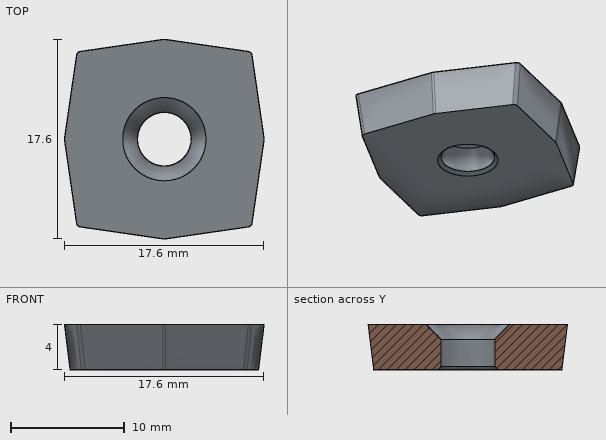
import cadquery as cq
import math

width = 17.56
thickness = 4.0

side_angle = 8.25
clearance_angle = 7.0
corner_radius = 0.4
apex_radius = 0.8

hole_diameter = 4.7
seat_diameter = 7.32
bottom_chamfer = 0.3

seat_depth = (seat_diameter - hole_diameter) / 2

slope = math.tan(math.radians(side_angle))
apex_loss = apex_radius * (1 / math.cos(math.radians(side_angle)) - 1)
apex_reach = width / 2 + apex_loss
corner_reach = apex_reach / (1 + slope)


def outline_points():
    """Corner and side-apex points of the sharp top outline, counterclockwise."""
    points = []
    for x, y in ((1, 0), (0, 1), (-1, 0), (0, -1)):
        points.append((x * apex_reach, y * apex_reach))
        points.append(((x - y) * corner_reach, (x + y) * corner_reach))
    return points


def on_axis(edge):
    """True for an edge rising from a side apex, which lies on the X or Y axis."""
    center = edge.Center()
    return min(abs(center.x), abs(center.y)) < corner_radius


def rounded_body():
    """Insert body tapering towards the bottom, with rounded corners and side apexes."""
    body = (
        cq.Workplane("XY", origin=(0, 0, thickness))
        .polyline(outline_points())
        .close()
        .extrude(-thickness, taper=clearance_angle)
    )
    rising = body.edges("not #Z").vals()
    apexes = [edge for edge in rising if on_axis(edge)]
    corners = [edge for edge in rising if not on_axis(edge)]
    body = body.newObject(corners).fillet(corner_radius)
    return body.newObject(apexes).fillet(apex_radius)


def screw_hole():
    """Through hole, its conical seat at the top and its chamfer at the bottom, as one revolved cutter."""
    hole_radius = hole_diameter / 2
    seat_radius = seat_diameter / 2
    seat_bottom = thickness - seat_depth
    return (
        cq.Workplane("XZ")
        .lineTo(hole_radius + bottom_chamfer, 0)
        .lineTo(hole_radius, bottom_chamfer)
        .lineTo(hole_radius, seat_bottom)
        .lineTo(seat_radius, thickness)
        .lineTo(0, thickness)
        .close()
        .revolve(360, (0, 0, 0), (0, 1, 0))
    )


result = rounded_body().cut(screw_hole())